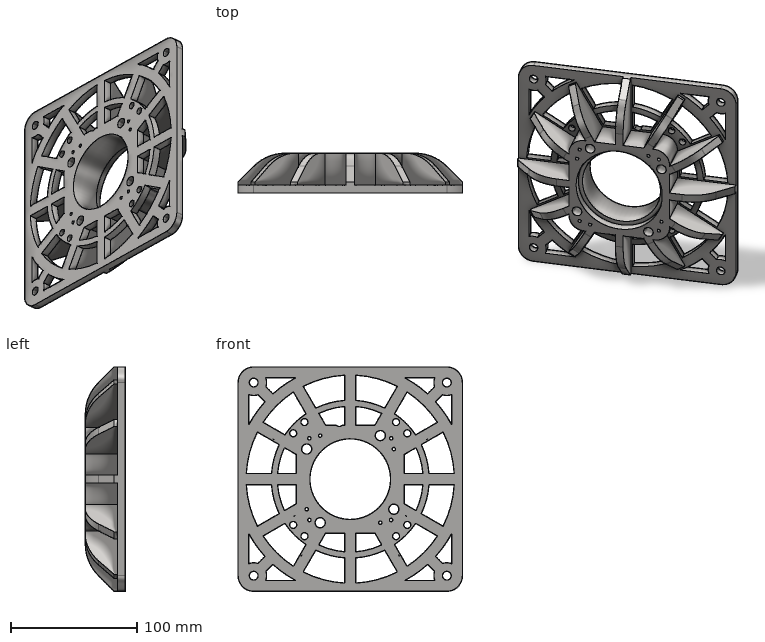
import cadquery as cq
import math

plate_side = 177.8
plate_thickness = 6.4
corner_radius = 12.5
total_depth = 31.8

bore_radius = 31.8
window_half_side = 42.8
hub_half_side = 41.0
hub_corner_radius = 12.5
recess_radius = 35.2
recess_depth = 7.1

spoke_count = 12
spoke_angle = 360.0 / spoke_count
spoke_width = 9.0
vent_outer_radius = 82.3
ring_width = 5.0
ring_outer_radius = 62.5
ring_inner_radius = ring_outer_radius - ring_width

notch_radius = 3.4
notch_depth = 1.0
notch_x = -8.7

corner_window_half_side = 80.2
rim_radius = 91.2
boss_radius = 10.3

rib_width = 6.4
rib_length = plate_side / 2
rib_end_height = 8.9
rib_slope_angle = 45.0
rib_bend_radius = 35.5

screw_position = plate_side / 2 - corner_radius
screw_hole_radius = 3.4
ring_hole_near = 36.3
ring_hole_far = 45.2
ring_hole_radius = 2.7
motor_hole_near = 23.8
motor_hole_far = 34.5
motor_hole_radius = 4.0
pilot_hole_offset = 32.4
pilot_hole_radius = 1.2

quarter_turns = [90 * i for i in range(4)]
spoke_turns = [spoke_angle * i for i in range(spoke_count)]


def front():
    """Sketch plane on the front face: local x is X, local y is Z."""
    return cq.Workplane("XZ")


def disc(radius, depth):
    return front().circle(radius).extrude(-depth)


def block(width, height, depth):
    return front().rect(width, height).extrude(-depth)


def turned(shape, angle):
    """Rotate a shape about the central axis."""
    return shape.rotate((0, 0, 0), (0, 1, 0), angle)


def make_plate():
    return block(plate_side, plate_side, plate_thickness).edges("|Y").fillet(corner_radius)


def make_spokes():
    """All spokes, as full-width bars through the center."""
    bar = block(plate_side, spoke_width, plate_thickness)
    spokes = bar
    for angle in spoke_turns[1:spoke_count // 2]:
        spokes = spokes.union(turned(bar, angle))
    return spokes


def make_diagonal_sectors():
    """Wedges covering the solid ring segments on the four diagonals."""
    half_angle = math.radians(spoke_angle / 2)
    reach = plate_side
    wedge = (
        front()
        .polyline([
            (0, 0),
            (reach, -reach * math.tan(half_angle)),
            (reach, reach * math.tan(half_angle)),
        ])
        .close()
        .extrude(-plate_thickness)
    )
    sectors = turned(wedge, 45)
    for angle in quarter_turns[1:]:
        sectors = sectors.union(turned(wedge, 45 + angle))
    return sectors


def make_vents():
    """Outer ring of windows, plus inner windows beside the square hub."""
    outer = disc(vent_outer_radius, plate_thickness).cut(disc(ring_outer_radius, plate_thickness))
    inner = (
        disc(ring_inner_radius, plate_thickness)
        .cut(block(2 * window_half_side, 2 * window_half_side, plate_thickness))
        .cut(make_diagonal_sectors())
    )
    return outer.union(inner).cut(make_spokes())


def make_notch():
    """Round cut through the plate that dips slightly below the window edge."""
    center_z = window_half_side - notch_depth + notch_radius
    return disc(notch_radius, plate_thickness).translate((notch_x, 0, center_z))


def make_corner_windows():
    """Windows between the round rim, the straight border and the screw bosses."""
    window_side = 2 * corner_window_half_side
    diagonal = block(2 * plate_side, spoke_width, plate_thickness)
    bosses = screw_points().circle(boss_radius).extrude(-plate_thickness)
    return (
        block(window_side, window_side, plate_thickness)
        .cut(disc(rim_radius, plate_thickness))
        .cut(turned(diagonal, 45))
        .cut(turned(diagonal, -45))
        .cut(bosses)
    )


def make_hub():
    """Square hub with rounded corners, standing behind the plate."""
    hub_side = 2 * hub_half_side
    return block(hub_side, hub_side, total_depth).edges("|Y").fillet(hub_corner_radius)


def make_recess():
    """Wider bore cut in from the back of the hub."""
    return disc(recess_radius, recess_depth).translate((0, total_depth - recess_depth, 0))


def make_rib():
    """Rib along +X: short end face, straight slope, then an arc tangent to the flat back."""
    slope = math.radians(rib_slope_angle)
    rib_start = (recess_radius + hub_half_side) / 2
    bend_rise = rib_bend_radius * (1 - math.cos(slope))
    bend_run = rib_bend_radius * math.sin(slope)
    slope_top = total_depth - bend_rise
    slope_x = rib_length - (slope_top - rib_end_height) / math.tan(slope)
    bend_start_x = slope_x - bend_run
    bend_mid = (
        bend_start_x + rib_bend_radius * math.sin(slope / 2),
        total_depth - rib_bend_radius * (1 - math.cos(slope / 2)),
    )
    return (
        cq.Workplane("XY")
        .moveTo(rib_start, 0)
        .lineTo(rib_length, 0)
        .lineTo(rib_length, rib_end_height)
        .lineTo(slope_x, slope_top)
        .threePointArc(bend_mid, (bend_start_x, total_depth))
        .lineTo(rib_start, total_depth)
        .close()
        .extrude(rib_width / 2, both=True)
    )


def screw_points():
    return front().rect(2 * screw_position, 2 * screw_position, forConstruction=True).vertices()


def make_hole_set(points, radius):
    """Through holes at the given points, repeated every quarter turn."""
    one_quarter = front().pushPoints(points).circle(radius).extrude(-total_depth)
    holes = one_quarter
    for angle in quarter_turns[1:]:
        holes = holes.union(turned(one_quarter, angle))
    return holes


result = (
    make_plate()
    .cut(make_vents())
    .cut(make_notch())
    .cut(make_corner_windows())
    .union(make_hub())
)
rib = make_rib()
for angle in spoke_turns:
    result = result.union(turned(rib, angle))

ring_hole_points = [(ring_hole_near, ring_hole_far), (ring_hole_far, ring_hole_near)]
pilot_hole_points = [(pilot_hole_offset, pilot_hole_offset), (motor_hole_far, motor_hole_near)]
result = (
    result
    .cut(disc(bore_radius, total_depth))
    .cut(make_recess())
    .cut(make_hole_set([(screw_position, screw_position)], screw_hole_radius))
    .cut(make_hole_set(ring_hole_points, ring_hole_radius))
    .cut(make_hole_set([(motor_hole_near, motor_hole_far)], motor_hole_radius))
    .cut(make_hole_set(pilot_hole_points, pilot_hole_radius))
)